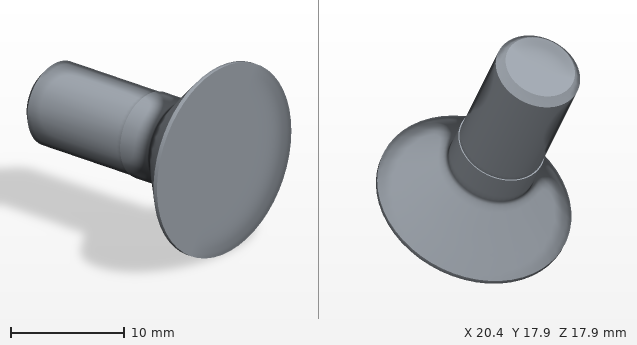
import cadquery as cq
import math

total_length = 20.42
head_radius = 8.96
rim_length = 0.4
cone_half_angle = 45.0
shank_radius = 4.0
thread_radius = 3.9
thread_length = 11.7
tip_radius = 3.2
tip_length = 0.7
neck_fillet_radius = 0.4

cone_angle = math.radians(cone_half_angle)
rim_start = total_length - rim_length
neck_x = rim_start - (head_radius - shank_radius) / math.tan(cone_angle)
tangent_length = neck_fillet_radius * math.tan(cone_angle / 2)
fillet_start = (neck_x - tangent_length, shank_radius)
fillet_end = (
    neck_x + tangent_length * math.cos(cone_angle),
    shank_radius + tangent_length * math.sin(cone_angle),
)
fillet_middle = (
    fillet_start[0] + neck_fillet_radius * math.sin(cone_angle / 2),
    shank_radius + neck_fillet_radius * (1 - math.cos(cone_angle / 2)),
)

half_section = (
    cq.Workplane("XY")
    .moveTo(0, 0)
    .lineTo(0, tip_radius)
    .lineTo(tip_length, thread_radius)
    .lineTo(thread_length, thread_radius)
    .lineTo(thread_length, shank_radius)
    .lineTo(*fillet_start)
    .threePointArc(fillet_middle, fillet_end)
    .lineTo(rim_start, head_radius)
    .lineTo(total_length, head_radius)
    .lineTo(total_length, 0)
    .close()
)
result = half_section.revolve(360, (0, 0, 0), (1, 0, 0))